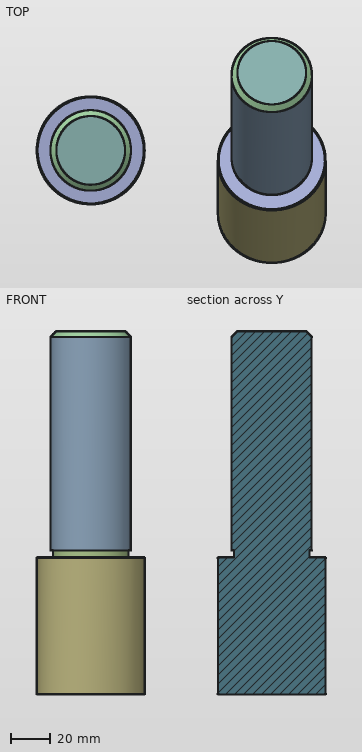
import cadquery as cq

total_height = 185.0
body_diameter = 55.0
body_height = 70.0
body_edge_chamfer = 0.5

shank_diameter = 41.0
shank_tip_chamfer = 3.0
neck_diameter = 38.5
neck_height = 3.5


def make_body():
    """Wide cylindrical body standing on the XY plane, with both rims broken."""
    body = cq.Workplane("XY").circle(body_diameter / 2).extrude(body_height)
    return body.faces("<Z or >Z").edges().chamfer(body_edge_chamfer)


def make_neck():
    """Short relief groove between the body and the shank."""
    return (
        cq.Workplane("XY")
        .workplane(offset=body_height)
        .circle(neck_diameter / 2)
        .extrude(neck_height)
    )


def make_shank():
    """Long shank with a chamfered tip."""
    shank_base = body_height + neck_height
    shank = (
        cq.Workplane("XY")
        .workplane(offset=shank_base)
        .circle(shank_diameter / 2)
        .extrude(total_height - shank_base)
    )
    return shank.faces(">Z").edges().chamfer(shank_tip_chamfer)


result = make_body().union(make_neck()).union(make_shank())